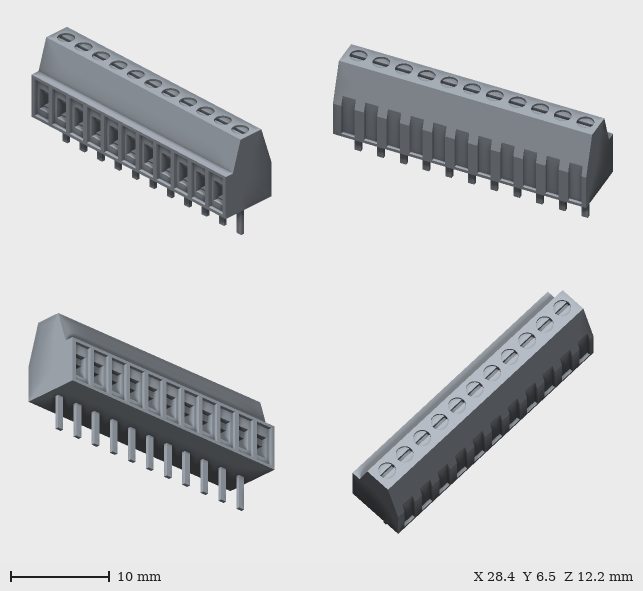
import cadquery as cq


position_count = 11
pitch = 2.54
row_x = [(i - (position_count - 1) / 2) * pitch for i in range(position_count)]
terminal_y = 3.49

length = 28.35
depth = 6.5
height = 8.5
entry_face_height = 4.95
entry_ledge_depth = 1.02
top_front_y = 2.1
top_back_y = 5.05
back_face_height = 3.97

recess_width = 2.0
recess_margin = 0.35
recess_height = entry_face_height - 2 * recess_margin
recess_depth = 0.4
window_width = 1.4
window_bottom = 1.1
window_top = 3.5

notch_width = 1.47
notch_depth = 0.35
notch_offset_x = -0.2
notch_bottom = recess_margin

channel_front_y = 1.02
channel_depth = 2 * (terminal_y - channel_front_y)
channel_web = 0.35
channel_end_wall = 0.35
channel_length = length - 2 * channel_end_wall
channel_bottom = 0.35
channel_top = 3.97
channel_height = channel_top - channel_bottom
clamp_bottom = 1.25
clamp_top = 2.75
clamp_height = clamp_top - clamp_bottom
clamp_depth = channel_depth - channel_web

screw_diameter = 1.8
screw_sink = 0.23
screw_top = height - screw_sink
slot_width = 0.43
slot_depth = 0.4

pin_width = 0.7
pin_thickness = 0.4
pin_length = 3.75


def box_at(x, y, z, size_x, size_y, size_z):
    """Box centred on x, with its front face at y and its underside at z."""
    return cq.Workplane("XY").box(size_x, size_y, size_z, centered=(True, False, False)).translate((x, y, z))


def clamp_channel():
    block = box_at(0, channel_front_y, channel_bottom, channel_length, channel_depth, channel_height)
    gap = box_at(0, channel_front_y, clamp_bottom, channel_length, clamp_depth, clamp_height)
    return block.cut(gap)


def screw_cylinder(x, top):
    """Cylinder of the screw diameter, standing on the clamp channel."""
    return (
        cq.Workplane("XY", origin=(x, terminal_y, channel_top))
        .circle(screw_diameter / 2)
        .extrude(top - channel_top)
    )


def pin(x):
    """Solder pin below the base, reaching up to the underside of the clamp channel."""
    return box_at(
        x, terminal_y - pin_thickness / 2, -pin_length,
        pin_width, pin_thickness, pin_length + channel_bottom,
    )


def housing_block():
    profile = [
        (0, 0),
        (0, entry_face_height),
        (entry_ledge_depth, entry_face_height),
        (top_front_y, height),
        (top_back_y, height),
        (depth, back_face_height),
        (depth, 0),
    ]
    return cq.Workplane("YZ", origin=(-length / 2, 0, 0)).polyline(profile).close().extrude(length)


def make_housing():
    housing = housing_block().cut(clamp_channel())
    for x in row_x:
        recess = box_at(x, 0, recess_margin, recess_width, recess_depth, recess_height)
        window = box_at(x, 0, window_bottom, window_width, channel_front_y, window_top - window_bottom)
        wire_passage = box_at(x, channel_front_y, clamp_bottom, window_width, clamp_depth, clamp_height)
        notch = box_at(
            x + notch_offset_x, depth - notch_depth, notch_bottom,
            notch_width, notch_depth, height - notch_bottom,
        )
        housing = housing.cut(recess).cut(window).cut(wire_passage).cut(notch)
        housing = housing.cut(screw_cylinder(x, height)).cut(pin(x))
    return housing


def make_terminal_strip():
    strip = clamp_channel()
    for x in row_x:
        slot = box_at(
            x, terminal_y - slot_width / 2, screw_top - slot_depth,
            screw_diameter, slot_width, slot_depth,
        )
        screw = screw_cylinder(x, screw_top).cut(slot)
        strip = strip.union(screw).union(pin(x))
    return strip


housing = make_housing()
terminal_strip = make_terminal_strip()

result = cq.Compound.makeCompound([housing.val(), terminal_strip.val()])